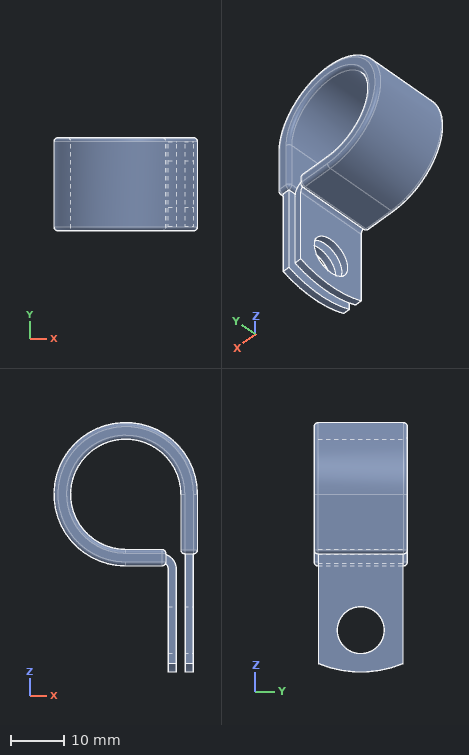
import cadquery as cq
import math


strap_thickness = 1.55
cushion_wall = 0.79375
cushion_edge_radius = 0.762
overall_width = 17.46
strap_width = overall_width - 2 * cushion_wall

cushion_outer_diameter = 26.85
cushion_outer_radius = cushion_outer_diameter / 2
strap_outer_radius = cushion_outer_radius - cushion_wall
strap_inner_radius = strap_outer_radius - strap_thickness
cushion_inner_radius = strap_inner_radius - cushion_wall

cushion_side_end_z = -11.15
cushion_bottom_end_x = 7.5

overall_height = 46.68
tab_tip_rise = 1.6
tab_tip_z = cushion_outer_radius - overall_height
tab_corner_z = tab_tip_z + tab_tip_rise
tab_gap = 1.6
tab_hole_diameter = 8.73
tab_hole_z = -25.4
bend_inner_radius = 1.4
bend_outer_radius = bend_inner_radius + strap_thickness

bent_tab_outer_x = strap_inner_radius - tab_gap
bent_tab_inner_x = bent_tab_outer_x - strap_thickness
bend_x = bent_tab_inner_x - bend_inner_radius
bend_z = -strap_outer_radius - bend_inner_radius

DIAGONAL = math.sqrt(0.5)


def loop_mid_point(radius):
    """Middle of the three-quarter loop that runs from +X over the top to -Z."""
    return (-radius * DIAGONAL, radius * DIAGONAL)


def bend_mid_point(radius):
    """Middle of the quarter bend that turns the strap down into the bent tab."""
    return (bend_x + radius * DIAGONAL, bend_z + radius * DIAGONAL)


def make_cushion():
    """Sleeve around the loop with every outer edge rounded."""
    body = (
        cq.Workplane("XZ")
        .moveTo(cushion_outer_radius, cushion_side_end_z)
        .lineTo(cushion_outer_radius, 0)
        .threePointArc(loop_mid_point(cushion_outer_radius), (0, -cushion_outer_radius))
        .lineTo(cushion_bottom_end_x, -cushion_outer_radius)
        .lineTo(cushion_bottom_end_x, -cushion_inner_radius)
        .lineTo(0, -cushion_inner_radius)
        .threePointArc(loop_mid_point(cushion_inner_radius), (cushion_inner_radius, 0))
        .lineTo(cushion_inner_radius, cushion_side_end_z)
        .close()
        .extrude(overall_width / 2, both=True)
    )
    side_end = cq.selectors.NearestToPointSelector(
        (cushion_outer_radius - cushion_wall, 0, cushion_side_end_z)
    )
    bottom_end = cq.selectors.NearestToPointSelector(
        (cushion_bottom_end_x, 0, -cushion_outer_radius + cushion_wall)
    )
    rims = body.faces("<Y or >Y").edges()
    end_edges = body.faces(side_end).edges().add(body.faces(bottom_end).edges())
    return body.newObject(rims.vals() + end_edges.edges("|Y").vals()).fillet(cushion_edge_radius)


def make_strap():
    """Metal strip: straight tab, loop, then a bend into the second tab."""
    return (
        cq.Workplane("XZ")
        .moveTo(strap_outer_radius, tab_tip_z)
        .lineTo(strap_outer_radius, 0)
        .threePointArc(loop_mid_point(strap_outer_radius), (0, -strap_outer_radius))
        .lineTo(bend_x, -strap_outer_radius)
        .threePointArc(bend_mid_point(bend_inner_radius), (bent_tab_inner_x, bend_z))
        .lineTo(bent_tab_inner_x, tab_tip_z)
        .lineTo(bent_tab_outer_x, tab_tip_z)
        .lineTo(bent_tab_outer_x, bend_z)
        .threePointArc(bend_mid_point(bend_outer_radius), (bend_x, -strap_inner_radius))
        .lineTo(0, -strap_inner_radius)
        .threePointArc(loop_mid_point(strap_inner_radius), (strap_inner_radius, 0))
        .lineTo(strap_inner_radius, tab_tip_z)
        .close()
        .extrude(strap_width / 2, both=True)
    )


def make_strap_silhouette():
    """Block along X whose lower end is the curved tip shared by both tabs."""
    half_width = strap_width / 2
    return (
        cq.Workplane("YZ")
        .moveTo(-half_width, cushion_outer_radius)
        .lineTo(-half_width, tab_corner_z)
        .threePointArc((0, tab_tip_z), (half_width, tab_corner_z))
        .lineTo(half_width, cushion_outer_radius)
        .close()
        .extrude(cushion_outer_radius, both=True)
    )


def make_tab_hole():
    """Screw hole through both tabs."""
    return (
        cq.Workplane("YZ")
        .center(0, tab_hole_z)
        .circle(tab_hole_diameter / 2)
        .extrude(cushion_outer_radius)
    )


strap = make_strap().intersect(make_strap_silhouette()).cut(make_tab_hole())
result = make_cushion().union(strap)